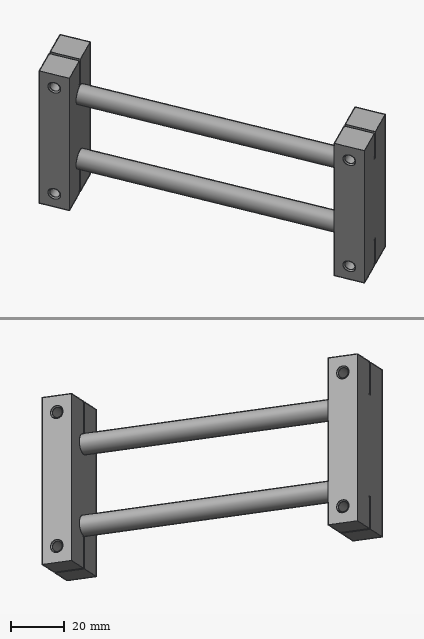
import cadquery as cq

length = 129.0
depth = 22.0
height = 65.0

block_width = 12.0
slit_width = 1.0

rod_diameter = 8.0
rod_spacing = 31.7

hole_spacing = 52.1
hole_diameter = 4.0
hole_chamfer = 0.5

block_x = (length - block_width) / 2
rod_z = rod_spacing / 2
hole_z = hole_spacing / 2


def make_block(x):
    """Clamp block with an open slit from each end down to a rod and two screw holes."""
    block = cq.Workplane("XY").box(block_width, depth, height)
    slit_length = height / 2 - rod_z
    for side in (-1, 1):
        slit_z = side * (rod_z + slit_length / 2)
        slit = cq.Workplane("XY").box(block_width, slit_width, slit_length)
        block = block.cut(slit.translate((0, 0, slit_z)))
    block = (
        block.faces("<Y").workplane(origin=(0, 0, 0))
        .pushPoints([(0, -hole_z), (0, hole_z)])
        .hole(hole_diameter)
    )
    block = block.faces("<Y or >Y").edges("%CIRCLE").chamfer(hole_chamfer)
    return block.translate((x, 0, 0))


def make_rod(z):
    """Round rod along X over the full length of the frame."""
    return (
        cq.Workplane("YZ", origin=(-length / 2, 0, z))
        .circle(rod_diameter / 2)
        .extrude(length)
    )


result = make_block(-block_x).union(make_block(block_x))
for rod_height in (-rod_z, rod_z):
    result = result.union(make_rod(rod_height))